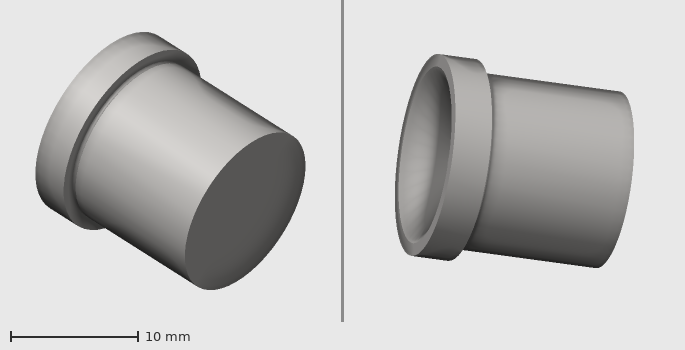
import cadquery as cq

length = 15.0
flange_diameter = 16.0
flange_thickness = 3.0
body_diameter = 14.0

relief_width = 0.37
relief_depth = 0.11

funnel_diameter = 14.0
throat_diameter = 5.0
throat_depth = 2.6
tip_depth = throat_depth + throat_diameter / 2

body_radius = body_diameter / 2
relief_end = flange_thickness + relief_width
relief_middle = flange_thickness + relief_width / 2

profile = (
    cq.Workplane("XY")
    .moveTo(tip_depth, 0)
    .lineTo(throat_depth, throat_diameter / 2)
    .lineTo(0, funnel_diameter / 2)
    .lineTo(0, flange_diameter / 2)
    .lineTo(flange_thickness, flange_diameter / 2)
    .lineTo(flange_thickness, body_radius)
    .threePointArc((relief_middle, body_radius - relief_depth), (relief_end, body_radius))
    .lineTo(length, body_radius)
    .lineTo(length, 0)
    .close()
)

result = profile.revolve(360, (0, 0, 0), (1, 0, 0))